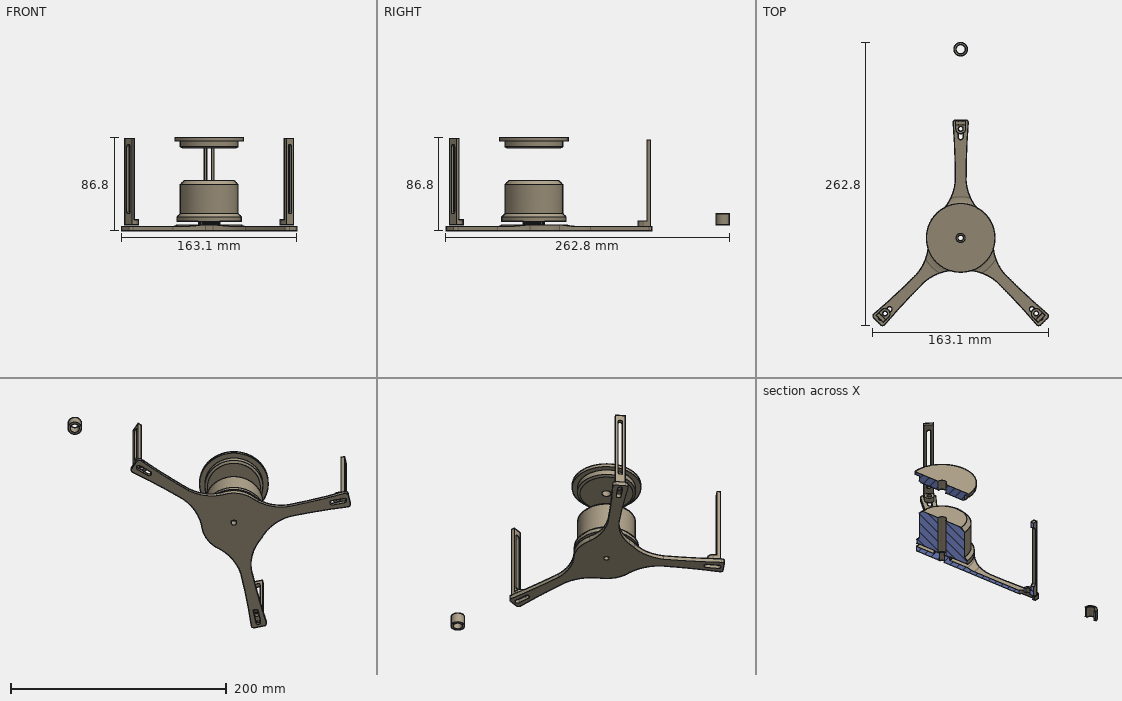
import cadquery as cq
import math

disc_radius = 30.2
disc_top = 5.5
rear_arm_angle = 90
side_arm_angles = (225, 315)
arm_angles = (rear_arm_angle, *side_arm_angles)
arm_thickness = 4.2
arm_length = 109.6
arm_half_width = 5.13
tip_half_width = 7.4
tip_corner_radius = 2.5
neck_start = 52.5
neck_mid_along = 37.5
neck_mid_half_width = 9.0
neck_end_angle = 45.0
taper_mid_along = 79.0
taper_mid_half_width = 5.5
ramp_end_radius = 38.0
arm_slot_width = 4.5
arm_slot_start = 91.2
arm_slot_end = 107.0
centre_hole_diameter = 5.0

spline_tip_diameter = 20.0
spline_root_diameter = 18.0
spline_teeth = 24

spool_bottom = 8.7
spool_top = 46.8
spool_diameter = 54.0
spool_flange_diameter = 60.0
spool_flange_edge = 4.2
spool_top_chamfer = 4.0
spindle_hole_diameter = 8.5

cap_top = 86.8
cap_rim_diameter = 64.0
cap_rim_thickness = 3.5
cap_bottom = 76.8
cap_chamfer_height = 1.3
cap_chamfer_width = 2.4

post_height = 80.2
post_width = 9.2
post_thickness = 3.5
post_slot_width = 4.2
post_slot_bottom = 10.5
post_slot_top = 74.5
foot_height = 5.0
foot_hole_diameter = 4.2
foot_hole_offset = 7.0
rear_post_radius = 108.3
side_post_radius = 106.2

ring_outer_diameter = 12.5
ring_inner_diameter = 8.5
ring_height = 10.5
ring_bottom = 5.5
ring_centre_y = 175.0


def cylinder(diameter, bottom, top):
    return cq.Workplane("XY").workplane(offset=bottom).circle(diameter / 2).extrude(top - bottom)


def turned(points):
    """Solid of revolution about Z from (radius, height) points."""
    return cq.Workplane("XZ").polyline(points).close().revolve(360, (0, 0, 0), (0, 1, 0))


def arm_prism():
    """Prism of one arm, pointing along +X, as thick as the base disc."""
    neck_x = disc_radius * math.cos(math.radians(neck_end_angle))
    neck_y = disc_radius * math.sin(math.radians(neck_end_angle))
    return (
        cq.Workplane("XY")
        .moveTo(0, 0)
        .lineTo(neck_x, -neck_y)
        .threePointArc((neck_mid_along, -neck_mid_half_width), (neck_start, -arm_half_width))
        .threePointArc((taper_mid_along, -taper_mid_half_width), (arm_length, -tip_half_width))
        .lineTo(arm_length, tip_half_width)
        .threePointArc((taper_mid_along, taper_mid_half_width), (neck_start, arm_half_width))
        .threePointArc((neck_mid_along, neck_mid_half_width), (neck_x, neck_y))
        .close()
        .extrude(disc_top)
        .edges("|Z and >X")
        .fillet(tip_corner_radius)
    )


def base_form():
    """Round body that is level over the disc and sinks in a hollow curve to the arms."""
    form_radius = arm_length + tip_half_width
    run = ramp_end_radius - disc_radius
    drop = disc_top - arm_thickness
    curve_radius = (run**2 + drop**2) / (2 * drop)
    half_angle = math.asin(run / curve_radius) / 2
    ramp_middle = (
        ramp_end_radius - curve_radius * math.sin(half_angle),
        arm_thickness + curve_radius * (1 - math.cos(half_angle)),
    )
    return (
        cq.Workplane("XZ")
        .lineTo(form_radius, 0)
        .lineTo(form_radius, arm_thickness)
        .lineTo(ramp_end_radius, arm_thickness)
        .threePointArc(ramp_middle, (disc_radius, disc_top))
        .lineTo(0, disc_top)
        .close()
        .revolve(360, (0, 0, 0), (0, 1, 0))
    )


def spline_boss():
    """Ring of straight teeth between the disc and the spool."""
    points = []
    pitch = 360 / spline_teeth
    tooth_profile = (
        (0, spline_root_diameter),
        (0.3, spline_root_diameter),
        (0.5, spline_tip_diameter),
        (0.8, spline_tip_diameter),
    )
    for tooth in range(spline_teeth):
        for share, diameter in tooth_profile:
            angle = math.radians((tooth + share) * pitch)
            points.append((diameter / 2 * math.cos(angle), diameter / 2 * math.sin(angle)))
    return (
        cq.Workplane("XY")
        .workplane(offset=disc_top)
        .polyline(points)
        .close()
        .extrude(spool_bottom - disc_top)
    )


def make_base():
    outline = cylinder(2 * disc_radius, 0, disc_top)
    for angle in arm_angles:
        outline = outline.union(arm_prism().rotate((0, 0, 0), (0, 0, 1), angle))
    base = outline.intersect(base_form())
    slot_length = arm_slot_end - arm_slot_start
    for angle in arm_angles:
        slot = (
            cq.Workplane("XY")
            .center(arm_slot_start + slot_length / 2, 0)
            .slot2D(slot_length, arm_slot_width)
            .extrude(disc_top)
        )
        base = base.cut(slot.rotate((0, 0, 0), (0, 0, 1), angle))
    base = base.union(spline_boss())
    return base.cut(cylinder(centre_hole_diameter, 0, spool_bottom))


def make_spool():
    flange_radius = spool_flange_diameter / 2
    radius = spool_diameter / 2
    flange_top = spool_bottom + spool_flange_edge
    spool = turned([
        (0, spool_bottom),
        (flange_radius, spool_bottom),
        (flange_radius, flange_top),
        (radius, flange_top + flange_radius - radius),
        (radius, spool_top - spool_top_chamfer),
        (radius - spool_top_chamfer, spool_top),
        (0, spool_top),
    ])
    return spool.cut(cylinder(spindle_hole_diameter, spool_bottom, spool_top))


def make_cap():
    radius = spool_diameter / 2
    cap = turned([
        (0, cap_bottom),
        (radius - cap_chamfer_width, cap_bottom),
        (radius, cap_bottom + cap_chamfer_height),
        (radius, cap_top - cap_rim_thickness),
        (cap_rim_diameter / 2, cap_top - cap_rim_thickness),
        (cap_rim_diameter / 2, cap_top),
        (0, cap_top),
    ])
    return cap.cut(cylinder(spindle_hole_diameter, cap_bottom, cap_top))


def make_post(outer_radius, bottom, angle):
    """Slotted upright on a round-ended foot, turned to stand over one arm."""
    inner_face = outer_radius - post_thickness
    hole_x = outer_radius - foot_hole_offset
    upright = (
        cq.Workplane("XY")
        .box(post_thickness, post_width, post_height, centered=(False, True, False))
        .translate((inner_face, 0, 0))
    )
    foot = (
        cq.Workplane("XY")
        .moveTo(outer_radius, -post_width / 2)
        .lineTo(hole_x, -post_width / 2)
        .threePointArc((hole_x - post_width / 2, 0), (hole_x, post_width / 2))
        .lineTo(outer_radius, post_width / 2)
        .close()
        .extrude(foot_height)
    )
    slot_length = post_slot_top - post_slot_bottom
    slot = (
        cq.Workplane("YZ", origin=(inner_face, 0, post_slot_bottom + slot_length / 2))
        .slot2D(slot_length, post_slot_width, 90)
        .extrude(post_thickness)
    )
    hole = cylinder(foot_hole_diameter, 0, foot_height).translate((hole_x, 0, 0))
    post = upright.union(foot).cut(slot).cut(hole)
    return post.translate((0, 0, bottom)).rotate((0, 0, 0), (0, 0, 1), angle)


def make_ring():
    ring = cylinder(ring_outer_diameter, ring_bottom, ring_bottom + ring_height)
    bore = cylinder(ring_inner_diameter, ring_bottom, ring_bottom + ring_height)
    return ring.cut(bore).translate((0, ring_centre_y, 0))


base = make_base()
spool = make_spool()
cap = make_cap()
posts = []
for arm_angle in arm_angles:
    is_rear = arm_angle == rear_arm_angle
    post_radius = rear_post_radius if is_rear else side_post_radius
    post_bottom = arm_thickness if is_rear else disc_top
    posts.append(make_post(post_radius, post_bottom, arm_angle))
ring = make_ring()

result = cq.Compound.makeCompound(
    [base.val(), spool.val(), cap.val(), *[post.val() for post in posts], ring.val()]
)